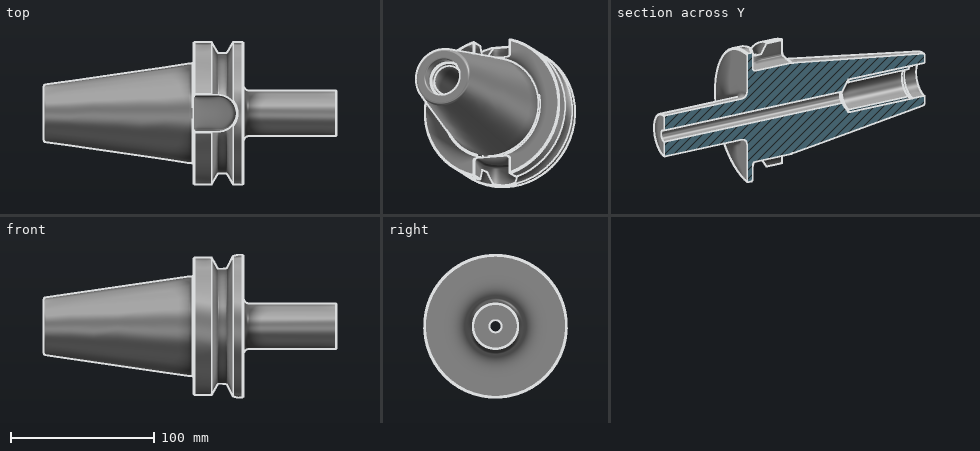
import cadquery as cq
import math

gauge_radius = 69.85 / 2
taper_length = 101.8
taper_ratio = 7 / 24
tip_fillet = 2.0

flange_gap = 3.0
flange_width = 35.0
flange_radius = 50.0
flange_chamfer = 0.8
flange_root_fillet = 1.0
groove_center_offset = 23.2
groove_radius = 42.2
groove_floor_width = 6.1
groove_flank_angle = 30.0
groove_root_fillet = 1.0

slot_width = 25.7
slot_floor_height = 35.4
slot_length = 30.2
slot_floor_fillet = 2.0
slot_edge_chamfer = 0.8

shank_radius = 16.0
shank_length = 65.0
shank_fillet = 4.0
shank_chamfer = 0.5

bore_radius = 12.5
mouth_fillet = 1.2
coolant_radius = 4.2
bore_cone_half_angle = 60.0

sleeve_start_x = 10.0
sleeve_inner_radius = 10.4
counterbore_radius = 12.2
counterbore_depth = 1.8
sleeve_length = 50.0
sleeve_lead_in = 1.1

tip_radius = gauge_radius - taper_length * taper_ratio / 2
flange_front_x = taper_length + flange_gap
flange_back_x = flange_front_x + flange_width
total_length = flange_back_x + shank_length
groove_center_x = taper_length + groove_center_offset
groove_floor_start_x = groove_center_x - groove_floor_width / 2
groove_floor_end_x = groove_center_x + groove_floor_width / 2
groove_run = (flange_radius - groove_radius) * math.tan(math.radians(groove_flank_angle))
lead_in_start_x = sleeve_start_x + counterbore_depth
sleeve_end_x = sleeve_start_x + sleeve_length
cone_run = (bore_radius - coolant_radius) / math.tan(math.radians(bore_cone_half_angle))

AXIS_START = (0, 0, 0)
AXIS_END = (1, 0, 0)
TOLERANCE = 0.01


def revolve_about_x(points):
    """Solid of revolution about X from (x, radius) points."""
    return cq.Workplane("XZ").polyline(points).close().revolve(360, AXIS_START, AXIS_END)


def circle_edge(solid, x, radius):
    """The circular edge of the given radius lying around X at position x."""
    return solid.edges("%CIRCLE").filter(
        lambda edge: abs(edge.Center().x - x) < TOLERANCE and abs(edge.radius() - radius) < TOLERANCE
    )


def make_blank():
    """Taper, flange and shank as one turned solid, with its round edges broken."""
    blank = revolve_about_x([
        (0, 0),
        (0, tip_radius),
        (taper_length, gauge_radius),
        (flange_front_x, gauge_radius),
        (flange_front_x, flange_radius),
        (groove_floor_start_x - groove_run, flange_radius),
        (groove_floor_start_x, groove_radius),
        (groove_floor_end_x, groove_radius),
        (groove_floor_end_x + groove_run, flange_radius),
        (flange_back_x, flange_radius),
        (flange_back_x, shank_radius),
        (total_length, shank_radius),
        (total_length, 0),
    ])
    blank = circle_edge(blank, 0, tip_radius).fillet(tip_fillet)
    blank = circle_edge(blank, flange_front_x, gauge_radius).fillet(flange_root_fillet)
    blank = circle_edge(blank, flange_back_x, shank_radius).fillet(shank_fillet)
    for x in (groove_floor_start_x, groove_floor_end_x):
        blank = circle_edge(blank, x, groove_radius).fillet(groove_root_fillet)
    for x in (flange_front_x, flange_back_x):
        blank = circle_edge(blank, x, flange_radius).chamfer(flange_chamfer)
    return circle_edge(blank, total_length, shank_radius).chamfer(shank_chamfer)


def make_slot_cutter():
    """Round-ended key slot above its floor, flared at the front face and open toward the taper."""
    half_width = slot_width / 2
    flared_half_width = half_width + slot_edge_chamfer
    start_x = flange_front_x - slot_floor_fillet
    end_x = flange_front_x + slot_length
    flare_end_x = flange_front_x + slot_edge_chamfer
    return (
        cq.Workplane("XY", origin=(0, 0, slot_floor_height))
        .moveTo(start_x, -flared_half_width)
        .lineTo(flange_front_x, -flared_half_width)
        .lineTo(flare_end_x, -half_width)
        .lineTo(end_x - half_width, -half_width)
        .threePointArc((end_x, 0), (end_x - half_width, half_width))
        .lineTo(flare_end_x, half_width)
        .lineTo(flange_front_x, flared_half_width)
        .lineTo(start_x, flared_half_width)
        .close()
        .extrude(flange_radius)
        .edges("<Z and (not <X)")
        .fillet(slot_floor_fillet)
    )


def is_slot_rim(edge):
    """True for edges where a key slot breaks through the flange's outside diameter."""
    points = [edge.positionAt(t) for t in (0, 0.25, 0.5, 0.75, 1)]
    on_outside = all(abs(math.hypot(p.y, p.z) - flange_radius) < TOLERANCE for p in points)
    in_slot = all(abs(p.y) < slot_width / 2 + TOLERANCE for p in points)
    clear_of_back = max(p.x for p in points) < flange_front_x + slot_length + TOLERANCE
    return on_outside and in_slot and clear_of_back and abs(points[0].z) > slot_floor_height


holder = make_blank()
for angle in (0, 180):
    holder = holder.cut(make_slot_cutter().rotate(AXIS_START, AXIS_END, angle))
holder = holder.edges().filter(is_slot_rim).chamfer(slot_edge_chamfer)

bore = revolve_about_x([
    (0, 0),
    (0, bore_radius),
    (sleeve_end_x, bore_radius),
    (sleeve_end_x + cone_run, coolant_radius),
    (total_length, coolant_radius),
    (total_length, 0),
])
holder = circle_edge(holder.cut(bore), 0, bore_radius).fillet(mouth_fillet)

sleeve = revolve_about_x([
    (sleeve_start_x, bore_radius),
    (sleeve_start_x, counterbore_radius),
    (lead_in_start_x, counterbore_radius),
    (lead_in_start_x + sleeve_lead_in, sleeve_inner_radius),
    (sleeve_end_x, sleeve_inner_radius),
    (sleeve_end_x, bore_radius),
])

result = cq.Compound.makeCompound([holder.val(), sleeve.val()])